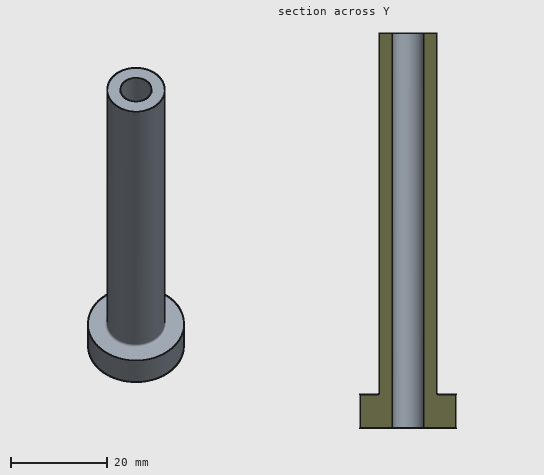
import cadquery as cq

total_length = 82.0
head_diameter = 20.0
head_height = 7.0
shaft_diameter = 12.0
bore_diameter = 6.5
root_fillet = 0.5

head_radius = head_diameter / 2
shaft_radius = shaft_diameter / 2
bore_radius = bore_diameter / 2

half_section = (
    cq.Workplane("XZ")
    .moveTo(bore_radius, 0)
    .lineTo(head_radius, 0)
    .lineTo(head_radius, head_height)
    .lineTo(shaft_radius + root_fillet, head_height)
    .radiusArc((shaft_radius, head_height + root_fillet), root_fillet)
    .lineTo(shaft_radius, total_length)
    .lineTo(bore_radius, total_length)
    .close()
)

result = half_section.revolve(360, (0, 0, 0), (0, 1, 0))